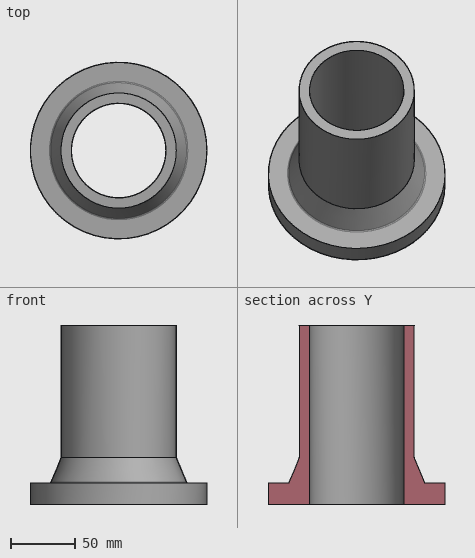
import cadquery as cq

flange_diameter = 138.0
flange_thickness = 17.0
total_height = 140.0
pipe_diameter = 90.0
wall_thickness = 8.2

hub_foot_diameter = 106.7
hub_top_height = 37.0
hub_fillet_radius = 1.0

flange_radius = flange_diameter / 2
pipe_radius = pipe_diameter / 2
bore_radius = pipe_radius - wall_thickness
hub_foot_radius = hub_foot_diameter / 2


def stub_flange_body():
    """Half section of flange, hub, pipe and bore, turned once around Z."""
    section = (
        cq.Workplane("XZ")
        .moveTo(bore_radius, 0)
        .lineTo(flange_radius, 0)
        .lineTo(flange_radius, flange_thickness)
        .lineTo(hub_foot_radius, flange_thickness)
        .lineTo(pipe_radius, hub_top_height)
        .lineTo(pipe_radius, total_height)
        .lineTo(bore_radius, total_height)
        .close()
    )
    return section.revolve(360, (0, 0, 0), (0, 1, 0))


def fillet_hub_foot(body):
    """Round the inside corner where the hub meets the top of the flange."""
    second_largest_circle = cq.selectors.RadiusNthSelector(-2)
    return body.edges("%CIRCLE").edges(second_largest_circle).fillet(hub_fillet_radius)


result = fillet_hub_foot(stub_flange_body())